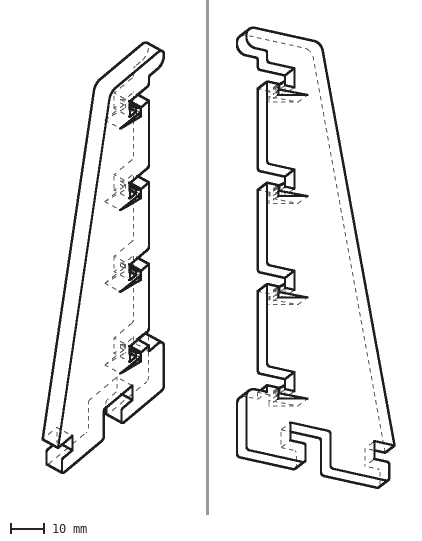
import cadquery as cq

thickness = 6.0
total_depth = 50.0
total_height = 138.0

column_front = 7.0
top_depth = 25.3
back_tip_height = 12.0
top_corner_radius = 3.0

lip_height = 6.6
lip_radius = 3.0
lip_root_radius = 0.7

slot_count = 4
slot_pitch = 33.0
slot_first_floor = 22.5
slot_width = 6.2
slot_end = 16.1
slot_corner_radius = 0.8

relief_front = 10.8
relief_gap = 0.4
relief_depth = 3.6
relief_tip = 20.5
spring_thickness = 1.5
spring_front_thickness = 1.8
barb_peak = 13.1
barb_height = 1.4

shoulder_height = 20.3
shoulder_radius = 3.0
foot_pitch = 28.3
foot_stem_depth = 14.9
front_toe = 20.0
rear_toe = 48.2
toe_height = 6.2
foot_corner_radius = 1.1
toe_corner_radius = 0.7
foot_root_radius = 0.7

profile_plane = cq.Plane(origin=(0, 0, 0), xDir=(0, -1, 0), normal=(-1, 0, 0))
slot_floors = [slot_first_floor + i * slot_pitch for i in range(slot_count)]


def plate(points):
    """Full-thickness plate centred on X with the given outline."""
    return cq.Workplane(profile_plane).polyline(points).close().extrude(thickness / 2, both=True)


def round_corners(body, corners, radius):
    """Fillet the through-thickness edges at the given profile corners."""
    margin = 0.1
    for depth, height in corners:
        selector = cq.selectors.BoxSelector(
            (-thickness, -depth - margin, height - margin),
            (thickness, -depth + margin, height + margin),
        )
        body = body.edges("|X").edges(selector).fillet(radius)
    return body


def bracket_body():
    """Bracket outline with lip, sloping back and hooked feet."""
    rear_stem_end = foot_pitch + foot_stem_depth
    lip_underside = total_height - lip_height
    body = plate([
        (0, 0),
        (front_toe, 0),
        (front_toe, toe_height),
        (foot_stem_depth, toe_height),
        (foot_stem_depth, back_tip_height),
        (foot_pitch, back_tip_height),
        (foot_pitch, 0),
        (rear_toe, 0),
        (rear_toe, toe_height),
        (rear_stem_end, toe_height),
        (rear_stem_end, back_tip_height),
        (total_depth, back_tip_height),
        (top_depth, total_height),
        (0, total_height),
        (0, lip_underside),
        (column_front, lip_underside),
        (column_front, shoulder_height),
        (0, shoulder_height),
    ])
    foot_corners = [(0, 0), (front_toe, 0), (foot_pitch, 0), (rear_toe, 0)]
    toe_corners = [(front_toe, toe_height), (rear_toe, toe_height)]
    body = round_corners(body, foot_corners, foot_corner_radius)
    body = round_corners(body, toe_corners, toe_corner_radius)
    body = round_corners(body, [(foot_pitch, back_tip_height)], foot_root_radius)
    body = round_corners(body, [(0, shoulder_height)], shoulder_radius)
    body = round_corners(body, [(0, lip_underside), (0, total_height)], lip_radius)
    body = round_corners(body, [(column_front, lip_underside)], lip_root_radius)
    return round_corners(body, [(top_depth, total_height)], top_corner_radius)


def slot_and_latch(floor):
    """Open slot joined to the relief cut that frees the barbed spring latch."""
    spring_front = relief_front + relief_gap
    ceiling = floor + slot_width
    return plate([
        (column_front, ceiling),
        (column_front, floor),
        (relief_front, floor),
        (relief_front, floor - relief_depth),
        (relief_tip, floor - spring_thickness),
        (spring_front, floor - spring_front_thickness),
        (spring_front, floor),
        (barb_peak, floor + barb_height),
        (barb_peak, floor),
        (slot_end, floor),
        (slot_end, ceiling),
    ])


result = bracket_body()
for slot_floor in slot_floors:
    result = result.cut(slot_and_latch(slot_floor))
slot_corners = [(column_front, slot_floor + slot_width) for slot_floor in slot_floors]
result = round_corners(result, slot_corners, slot_corner_radius)